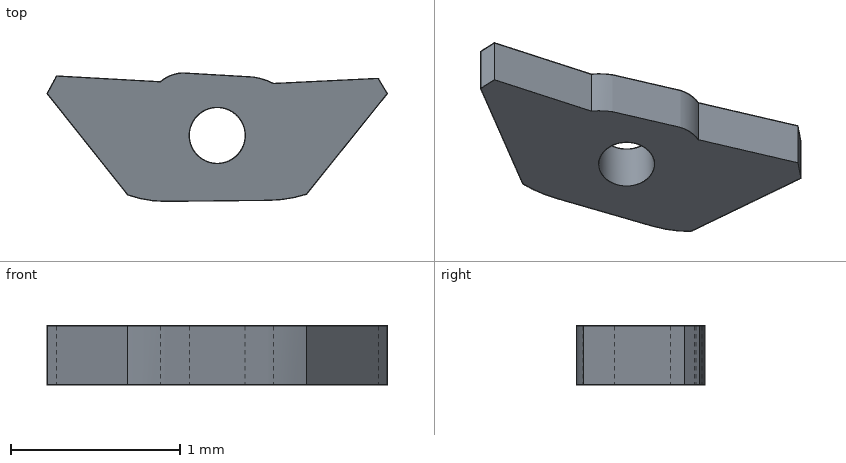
import cadquery as cq

length = 2.01
thickness = 0.35
depth = 0.76
half_length = length / 2

hole_diameter = 0.33
hole_height = 0.39

left_tip = (-half_length, 0.637)
left_shoulder = (-0.949, 0.742)
left_notch = (-0.335, 0.708)
left_crown_bend = (-0.281, 0.742)
left_crown = (-0.207, depth)
right_crown = (0.211, 0.735)
right_crown_bend = (0.273, 0.722)
right_notch = (0.332, 0.697)
right_shoulder = (0.95, 0.728)
right_tip = (half_length, 0.637)
right_heel = (0.527, 0.042)
right_heel_bend = (0.418, 0.016)
right_base = (0.304, 0.006)
left_base = (-0.31, 0.0)
left_heel_bend = (-0.422, 0.01)
left_heel = (-0.529, 0.038)


def plate():
    """Winged plate with a raised crown on top and rounded heels below."""
    outline = (
        cq.Workplane("XY")
        .moveTo(*left_tip)
        .lineTo(*left_shoulder)
        .lineTo(*left_notch)
        .threePointArc(left_crown_bend, left_crown)
        .lineTo(*right_crown)
        .threePointArc(right_crown_bend, right_notch)
        .lineTo(*right_shoulder)
        .lineTo(*right_tip)
        .lineTo(*right_heel)
        .threePointArc(right_heel_bend, right_base)
        .lineTo(*left_base)
        .threePointArc(left_heel_bend, left_heel)
        .close()
    )
    return outline.extrude(thickness)


def through_hole():
    """Round cutter running through the full thickness."""
    return cq.Workplane("XY").center(0, hole_height).circle(hole_diameter / 2).extrude(thickness)


result = plate().cut(through_hole())